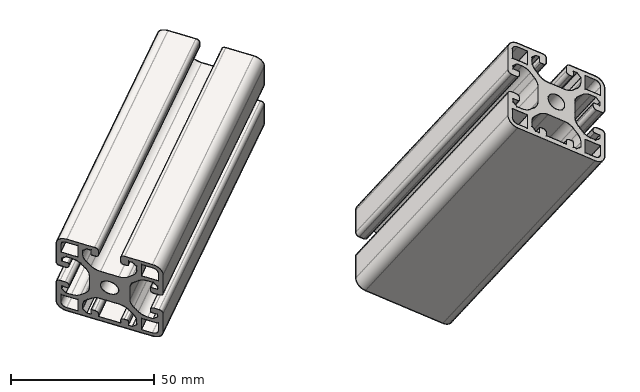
import cadquery as cq

width = 40.0
length = 100.0
half_width = width / 2
corner_radius = 4.0
bore_diameter = 6.8

slot_half_opening = 4.1
mouth_round = 1.5
cavity_half_width = 10.1
cavity_floor = 7.6
face_wall = 2.1
cavity_roof = half_width - face_wall
cavity_chamfer = 1.6
cavity_fillet = 5.0
diagonal_offset = 2.1

lip_thickness = 2.9
lip_depth = 4.8
lip_round = 1.4
lip_back_round = 0.5

chamber_wall = 1.8
chamber_inner = cavity_half_width + chamber_wall
chamber_outer = half_width - chamber_wall
chamber_radius = corner_radius - chamber_wall


def extrude_box(x_min, x_max, z_min, z_max):
    """Full-length bar with the given cross-section limits."""
    return cq.Workplane("XY").box(
        x_max - x_min, length, z_max - z_min, centered=False
    ).translate((x_min, -length / 2, z_min))


def turned(shape, angle):
    """Shape rotated about the profile axis."""
    return shape.rotate((0, 0, 0), (0, 1, 0), angle)


def lip(side):
    """Lip on one side (-1 or +1) of the upper slot, rounded at its free end."""
    outer = slot_half_opening + lip_thickness
    x_min, x_max = sorted((side * slot_half_opening, side * outer))
    bar = extrude_box(x_min, x_max, half_width - lip_depth, half_width)
    opening_side, back_side = ("<X", ">X") if side > 0 else (">X", "<X")
    bar = bar.edges(f"|Y and <Z and {opening_side}").fillet(lip_round)
    return bar.edges(f"|Y and <Z and {back_side}").fillet(lip_back_round)


def cavity():
    """Upper slot cavity between the core and the face wall, with the lips left standing."""
    floor_corner = cavity_floor - diagonal_offset
    wall_corner = cavity_half_width + diagonal_offset
    right_side = [
        (floor_corner, cavity_floor),
        (cavity_half_width, wall_corner),
        (cavity_half_width, cavity_roof - cavity_chamfer),
        (cavity_half_width - cavity_chamfer, cavity_roof),
    ]
    left_side = [(-x, z) for x, z in reversed(right_side)]
    space = (
        cq.Workplane("XZ")
        .polyline(right_side + left_side)
        .close()
        .extrude(length / 2, both=True)
    )
    blend_top = (wall_corner + cavity_roof - cavity_chamfer) / 2
    blend_zone = cq.selectors.BoxSelector((-half_width, -length, 0), (half_width, length, blend_top))
    space = space.edges("|Y").edges(blend_zone).fillet(cavity_fillet)
    return space.cut(lip(-1)).cut(lip(1))


def open_slot():
    """Cavity joined to an opening through the face, with the outer lip edges rounded."""
    opening = extrude_box(-slot_half_opening, slot_half_opening, half_width - lip_depth, half_width)
    mouth_half_width = slot_half_opening + mouth_round
    mouth = extrude_box(-mouth_half_width, mouth_half_width, half_width - mouth_round, half_width)
    for side in (-1, 1):
        rounding = (
            cq.Workplane("XZ")
            .center(side * mouth_half_width, half_width - mouth_round)
            .circle(mouth_round)
            .extrude(length / 2, both=True)
        )
        mouth = mouth.cut(rounding)
    return cavity().union(opening).union(mouth)


def corner_chamber():
    """Hollow in the +X +Z corner, rounded concentrically with the outer corner."""
    chamber = extrude_box(chamber_inner, chamber_outer, chamber_inner, chamber_outer)
    return chamber.edges("|Y and >X and >Z").fillet(chamber_radius)


bore = cq.Workplane("XZ").circle(bore_diameter / 2).extrude(length / 2, both=True)

result = cq.Workplane("XY").box(width, length, width).edges("|Y").fillet(corner_radius)
result = result.cut(bore)

for angle in (-90, 0, 90):
    result = result.cut(turned(open_slot(), angle))
result = result.cut(turned(cavity(), 180))

for angle in (0, 90, 180, 270):
    result = result.cut(turned(corner_chamber(), angle))